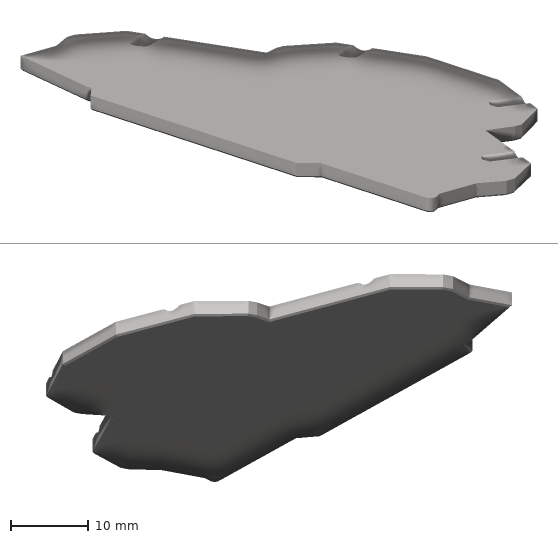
import cadquery as cq
import math

length = 83.6
height = 43.2
thickness = 2.0

upper_center = 44.6
upper_half_width = 22.7
top_half_width = 6.85
upper_shoulder_half = 19.15
upper_shoulder_y = 38.6
upper_side_top_y = 32.6
upper_side_bottom_y = 31.35

shoulder_inset = 3.35
shoulder_y = 22.15
side_top_y = 16.2
side_bottom_y = 14.7
waist_inset = 1.8
waist_y = 11.2

roof_angle = 20.0
roof_slope = math.tan(math.radians(roof_angle))
left_notch_x = 22.5
right_notch_x = 66.0

step_y = 2.25
rail_left = 20.4
rail_right = 59.5
left_step_x = rail_left - step_y
right_step_x = rail_right + step_y
ramp_end_x = 17.0
left_corner_y = 4.85
foot_x = 82.5
foot_top_y = 3.35
foot_neck_y = 4.7
foot_radius = 0.8
bottom_chamfer = 0.25

groove_radius = 2.1
groove_depth = 0.5
groove_length = 4.6
groove_cone_length = groove_radius
upper_groove_offset = 15.55
lower_groove_inset = 7.2


def upper_roof_y(offset):
    """Height of the upper roof edge at a distance from the upper centre line."""
    return height - (offset - top_half_width) * roof_slope


def lower_roof_y(inset):
    """Height of the lower roof edge at a distance from the plate end."""
    return shoulder_y + (inset - shoulder_inset) * roof_slope


def make_plate():
    outline = [
        (rail_left, 0),
        (rail_right, 0),
        (right_step_x, step_y),
        (foot_x, step_y),
        (foot_x, foot_top_y),
        (length - waist_inset, foot_neck_y),
        (length - waist_inset, waist_y),
        (length, side_bottom_y),
        (length, side_top_y),
        (length - shoulder_inset, shoulder_y),
        (right_notch_x, lower_roof_y(length - right_notch_x)),
        (upper_center + upper_half_width, upper_side_bottom_y),
        (upper_center + upper_half_width, upper_side_top_y),
        (upper_center + upper_shoulder_half, upper_shoulder_y),
        (upper_center + top_half_width, height),
        (upper_center - top_half_width, height),
        (upper_center - upper_shoulder_half, upper_shoulder_y),
        (upper_center - upper_half_width, upper_side_top_y),
        (upper_center - upper_half_width, upper_side_bottom_y),
        (left_notch_x, lower_roof_y(left_notch_x)),
        (shoulder_inset, shoulder_y),
        (0, side_top_y),
        (0, side_bottom_y),
        (waist_inset, waist_y),
        (waist_inset, left_corner_y),
        (ramp_end_x, step_y),
        (left_step_x, step_y),
    ]
    plate = cq.Workplane("XY").polyline(outline).close().extrude(thickness)
    foot_corner = cq.selectors.NearestToPointSelector((foot_x, step_y, thickness / 2))
    plate = plate.edges("|Z").edges(foot_corner).fillet(foot_radius)
    return plate.faces("<Z").edges().chamfer(bottom_chamfer)


def make_groove(mouth_x, mouth_y, side):
    """Cutter running square to the roof edge; side is -1 for left, 1 for right."""
    overrun = groove_radius
    profile = [
        (0, overrun),
        (groove_radius, overrun),
        (groove_radius, -groove_length),
        (0, -groove_length - groove_cone_length),
    ]
    cutter = cq.Workplane("XY").polyline(profile).close().revolve(360, (0, 0, 0), (0, 1, 0))
    cutter = cutter.rotate((0, 0, 0), (0, 0, 1), -side * roof_angle)
    axis_z = thickness + groove_radius - groove_depth
    return cutter.translate((mouth_x, mouth_y, axis_z))


result = make_plate()
for side in (-1, 1):
    upper_x = upper_center + side * upper_groove_offset
    result = result.cut(make_groove(upper_x, upper_roof_y(upper_groove_offset), side))
    lower_x = length / 2 + side * (length / 2 - lower_groove_inset)
    result = result.cut(make_groove(lower_x, lower_roof_y(lower_groove_inset), side))